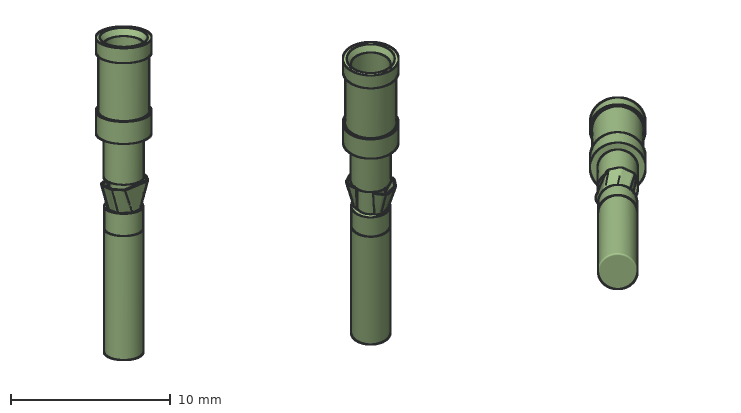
import cadquery as cq
import math

total_length = 21.5
mouth_collar_length = 1.0
barrel_length = 4.0
stop_collar_length = 1.5
shaft_length = 2.99
sleeve_top_z = 10.0
sleeve_length = 1.5

barrel_top_z = total_length - mouth_collar_length
stop_collar_top_z = barrel_top_z - barrel_length
shaft_top_z = stop_collar_top_z - stop_collar_length
neck_top_z = shaft_top_z - shaft_length
sleeve_bottom_z = sleeve_top_z - sleeve_length

collar_radius = 3.5 / 2
barrel_radius = 1.61
shaft_radius = 1.27
neck_radius = 0.9
sleeve_radius = 1.23
pin_radius = 1.25
tip_fillet = 0.1

bore_radius = 1.25
mouth_radius = 1.5
mouth_depth = 0.45
bore_depth = 5.0
drill_point_angle = 118.0

clip_top_gap = 0.25
clip_height = neck_top_z - clip_top_gap - sleeve_top_z
clip_wall = 0.1
clip_corner_round = 0.4
clip_slot_half_width = 0.6
clip_top_corners = [(-0.9, -clip_slot_half_width), (-0.69, -1.46), (0.39, -1.6), (1.15, -1.08)]
clip_foot_corners = [(-0.73, -clip_slot_half_width), (-0.47, -1.03), (0.45, -1.08), (1.1, -0.35)]


def turned_body():
    """Solid of revolution with all the outside steps."""
    steps = [
        (pin_radius, 0, sleeve_bottom_z),
        (sleeve_radius, sleeve_bottom_z, sleeve_top_z),
        (neck_radius, sleeve_top_z, neck_top_z),
        (shaft_radius, neck_top_z, shaft_top_z),
        (collar_radius, shaft_top_z, stop_collar_top_z),
        (barrel_radius, stop_collar_top_z, barrel_top_z),
        (collar_radius, barrel_top_z, total_length),
    ]
    outline = [(0, 0)]
    for radius, bottom, top in steps:
        outline += [(radius, bottom), (radius, top)]
    outline.append((0, total_length))
    body = cq.Workplane("XZ").polyline(outline).close().revolve(360, (0, 0), (0, 1))
    return body.faces("<Z").edges().fillet(tip_fillet)


def wire_bore():
    """Cutter for the countersink, the bore and its conical bottom."""
    bore_bottom_z = total_length - bore_depth
    point_depth = bore_radius / math.tan(math.radians(drill_point_angle / 2))
    outline = [
        (0, total_length),
        (mouth_radius, total_length),
        (bore_radius, total_length - mouth_depth),
        (bore_radius, bore_bottom_z),
        (0, bore_bottom_z - point_depth),
    ]
    return cq.Workplane("XZ").polyline(outline).close().revolve(360, (0, 0), (0, 1))


def symmetric_outline(half_corners):
    """Closed corner list made of a -Y half and its mirror image on the +Y side."""
    return half_corners + [(x, -y) for x, y in reversed(half_corners)]


def clip_section(half_corners, level, inset):
    """Horizontal wire of the clip at one level, shrunk sideways by inset."""
    corners = symmetric_outline(half_corners)
    section = cq.Workplane("XY", origin=(0, 0, level)).polyline(corners).close()
    if inset > 0:
        section = section.offset2D(-inset, "intersection")
    return section.val()


def flared_prism(inset):
    """Flared many-sided prism around the axis, shrunk sideways by inset."""
    foot = clip_section(clip_foot_corners, sleeve_top_z, inset)
    top = clip_section(clip_top_corners, sleeve_top_z + clip_height, inset)
    return cq.Workplane("XY").add(cq.Solid.makeLoft([foot, top], True))


def clip_slot(half_width):
    """Cutter for the slot that leaves the clip open towards -X."""
    reach = 2 * collar_radius
    return cq.Workplane("XY").box(
        reach, 2 * half_width, total_length, centered=(False, True, False)
    ).translate((-reach, 0, 0))


def retaining_clip():
    """Thin flared wall with rounded corners, slotted at -X and open at the top around the neck."""
    slot_corner_x = clip_top_corners[0][0]
    rounded_corners = cq.selectors.BoxSelector(
        (slot_corner_x + clip_wall, -collar_radius, sleeve_top_z),
        (collar_radius, collar_radius, neck_top_z),
    )
    outside = flared_prism(0).edges("not #Z").edges(rounded_corners).fillet(clip_corner_round)
    outside = outside.cut(clip_slot(clip_slot_half_width))
    pocket = flared_prism(clip_wall).cut(clip_slot(clip_slot_half_width + clip_wall))
    return outside.cut(pocket)


result = turned_body().cut(wire_bore()).union(retaining_clip())